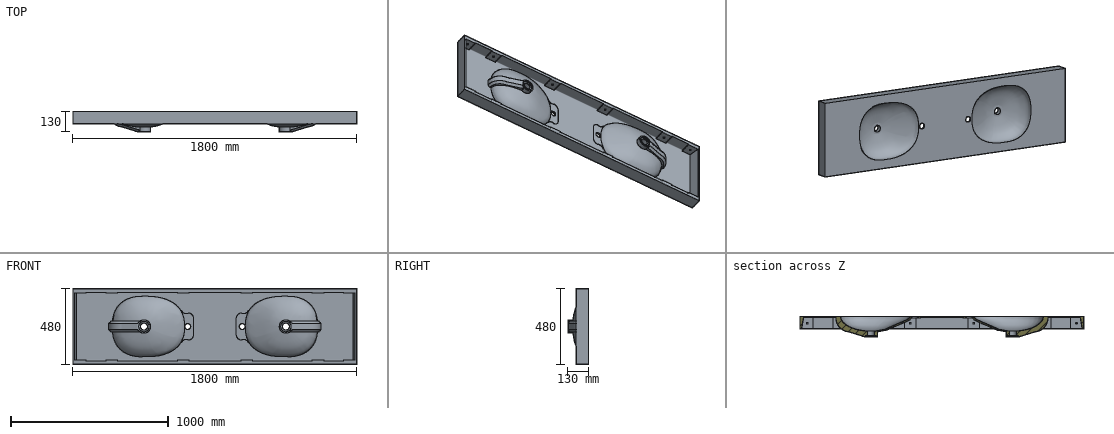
import cadquery as cq
import math


length = 1800.0
width = 480.0
total_depth = 130.0
slab_depth = 80.0
plate = 9.0
end_wall = 10.0
end_wall_draft = 13.0
side_wall = 23.0
floor_fillet = 5.0

pad_length = 74.0
pad_rise = 5.0
pad_positions = (202.0, 653.0, 853.0)
screw_hole_diameter = 10.0
screw_hole_depth = 15.0

bowl_offset = length / 4
bowl_outer_reach = 202.0
bowl_inner_reach = 260.0
bowl_half_width = 193.0
bowl_depth = 103.0
bowl_wall = 9.0
squareness = 2.4
tap_side_reach = 184.0
flare_power = 10
section_scales = (1.0, 0.98, 0.93, 0.8, 0.6, 0.4, 0.2)
points_per_section = 32

flange_reach = 315.0
flange_end_half = 43.0
flange_corner_middle = (306.0, 74.0)
flange_shoulder = (285.0, 86.0)
flange_neck = (260.0, 83.0)
flange_root = (240.0, 100.0)
flange_rise = 2.0
tap_offset = 277.0
tap_hole_diameter = 36.0

drain_diameter = 85.0
drain_hole_diameter = 43.0
drain_recess_diameter = 67.0
drain_recess_depth = 7.0

channel_width = 68.0
channel_chamfer = 15.0
channel_reach = 223.0
knee_offset = 140.0
knee_depth = 99.0
bend_offset = 205.0
bend_depth = 63.0


def plane_at(depth):
    """Workplane parallel to the slab, facing -Y."""
    return cq.Workplane("XZ").workplane(offset=depth)


def mirrored(point):
    """The point reflected across the bowl's line of symmetry."""
    return (point[0], -point[1])


def make_slab():
    slab = plane_at(0).rect(length, width).extrude(slab_depth)
    rim_half = length / 2 - end_wall
    floor_half = rim_half - end_wall_draft
    pocket_half_width = width / 2 - side_wall
    pocket = (
        cq.Workplane("XY")
        .workplane(offset=-pocket_half_width)
        .polyline([
            (-floor_half, -plate),
            (floor_half, -plate),
            (rim_half, -slab_depth),
            (-rim_half, -slab_depth),
        ])
        .close()
        .extrude(2 * pocket_half_width)
        .edges("|X and >Y")
        .fillet(floor_fillet)
    )
    return slab.cut(pocket)


def add_screw_pads(slab):
    inner_half = width / 2 - side_wall
    pad_height = slab_depth - plate
    hole_depth_position = (plate + slab_depth) / 2
    for x in pad_positions + tuple(-p for p in pad_positions):
        for side in (-1, 1):
            pad = plane_at(plate).center(x, side * (inner_half - pad_rise / 2))
            slab = slab.union(pad.rect(pad_length, pad_rise).extrude(pad_height))
            face_z = side * (inner_half - pad_rise)
            hole = cq.Solid.makeCylinder(
                screw_hole_diameter / 2,
                screw_hole_depth,
                cq.Vector(x, -hole_depth_position, face_z),
                cq.Vector(0, 0, side),
            )
            slab = slab.cut(cq.Workplane(hole))
    return slab


def bowl_section(scale, inset):
    """Rounded egg outline around the drain, flared towards the tap near the rim."""
    flare = (bowl_inner_reach - tap_side_reach) * scale ** flare_power
    outer_reach = (bowl_outer_reach - inset) * scale
    tap_reach = (tap_side_reach - inset) * scale + flare
    half_width = (bowl_half_width - inset) * scale
    points = []
    for i in range(points_per_section):
        angle = 2 * math.pi * i / points_per_section
        c = math.cos(angle)
        s = math.sin(angle)
        radius = (abs(c) ** squareness + abs(s) ** squareness) ** (-1 / squareness)
        reach = tap_reach if c > 0 else outer_reach
        points.append((reach * radius * c, half_width * radius * s))
    return points


def make_dome(start_depth, end_depth, inset):
    """Solid dome with an elliptical depth profile."""
    dome = cq.Workplane("XZ")
    previous = 0
    for scale in section_scales:
        depth = start_depth + (end_depth - start_depth) * math.sqrt(1 - scale ** 2)
        dome = dome.workplane(offset=depth - previous)
        dome = dome.spline(bowl_section(scale, inset), periodic=True).close()
        previous = depth
    return dome.loft(combine=True)


def make_flange():
    """Low pad around the tap hole, necked where it leaves the bowl."""
    end_corner = (flange_reach, flange_end_half)
    return (
        plane_at(0)
        .moveTo(*flange_root)
        .threePointArc(flange_neck, flange_shoulder)
        .threePointArc(flange_corner_middle, end_corner)
        .lineTo(*mirrored(end_corner))
        .threePointArc(mirrored(flange_corner_middle), mirrored(flange_shoulder))
        .threePointArc(mirrored(flange_neck), mirrored(flange_root))
        .close()
        .extrude(plate + flange_rise)
    )


def make_channel():
    arc_middle = (-bend_offset, -bend_depth)
    ridge_zone = cq.selectors.BoxSelector(
        (-2 * channel_reach, -2 * total_depth, -channel_width),
        (-drain_hole_diameter / 2, -plate, channel_width),
    )
    return (
        cq.Workplane("XY")
        .workplane(offset=-channel_width / 2)
        .moveTo(0, 0)
        .lineTo(-channel_reach, 0)
        .lineTo(-channel_reach, -plate)
        .threePointArc(arc_middle, (-knee_offset, -knee_depth))
        .lineTo(-drain_diameter / 2, -total_depth)
        .lineTo(0, -total_depth)
        .close()
        .extrude(channel_width)
        .edges(ridge_zone)
        .edges("not |Z")
        .chamfer(channel_chamfer)
    )


def make_drain():
    return plane_at(plate).circle(drain_diameter / 2).extrude(total_depth - plate)


def make_bowl():
    """One bowl with the drain on the Y axis and the tap towards +X."""
    cavity = make_dome(0, bowl_depth - bowl_wall, bowl_wall)
    drain_hole = plane_at(0).circle(drain_hole_diameter / 2).extrude(total_depth)
    drain_recess = (
        plane_at(total_depth - drain_recess_depth)
        .circle(drain_recess_diameter / 2)
        .extrude(drain_recess_depth)
    )
    tap_hole = plane_at(0).center(tap_offset, 0).circle(tap_hole_diameter / 2).extrude(slab_depth)
    body = make_dome(plate, bowl_depth, 0).union(make_flange())
    body = body.union(make_channel()).union(make_drain())
    return body, cavity.union(drain_hole).union(drain_recess).union(tap_hole)


body, voids = make_bowl()
body = body.translate((-bowl_offset, 0, 0))
voids = voids.translate((-bowl_offset, 0, 0))
result = add_screw_pads(make_slab())
result = result.union(body).union(body.mirror("YZ"))
result = result.cut(voids).cut(voids.mirror("YZ"))